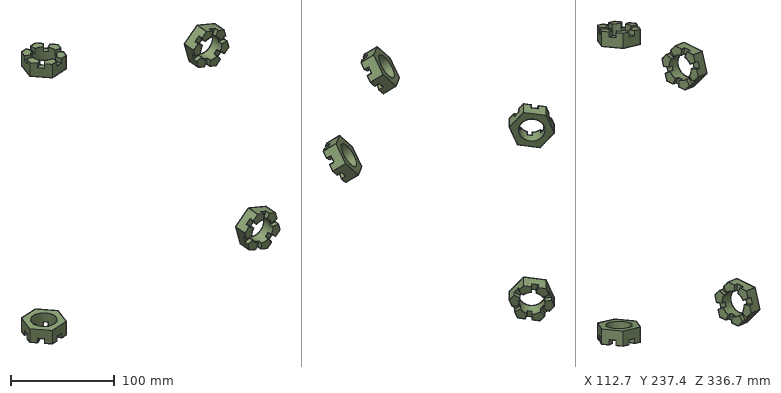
import cadquery as cq
import math

ACROSS_FLATS = 38.1
BORE_DIAMETER = 25.4
NUT_THICKNESS = 15.24
SLOT_ANGLE = 20.0
SLOT_DEPTH = 5.08
HEX_SIDES = 6
CORNER_ANGLE = 45.0

CORNER_STEP = 360 / HEX_SIDES
ACROSS_CORNERS = ACROSS_FLATS / math.cos(math.radians(CORNER_STEP / 2))
CORNER_REACH = ACROSS_CORNERS / 2 * math.cos(math.radians(CORNER_STEP - CORNER_ANGLE))

OVERALL_X = 112.69
OVERALL_Y = 237.42
OVERALL_Z = 336.65

LOWER_SLOTTED_FACE_Z = 0.0
UPPER_SLOTTED_FACE_Z = 313.7

SLOTTED_FACE_X = OVERALL_X - CORNER_REACH
FAR_NUT_Y = OVERALL_Y - 2 * CORNER_REACH
NUT_SPACING_Y = 61.7
NEAR_NUT_Y = FAR_NUT_Y - NUT_SPACING_Y
HIGH_NUT_Z = OVERALL_Z - CORNER_REACH
NUT_SPACING_Z = 226.9
LOW_NUT_Z = HIGH_NUT_Z - NUT_SPACING_Z


def slotted_nut(slotted_face):
    """Nut whose slotted face lies on the given plane, with its body behind the plane."""
    hexagon = cq.Workplane(slotted_face).transformed(rotate=(0, 0, CORNER_ANGLE))
    nut = hexagon.polygon(HEX_SIDES, ACROSS_CORNERS).extrude(-NUT_THICKNESS)
    nut = nut.cut(hexagon.circle(BORE_DIAMETER / 2).extrude(-NUT_THICKNESS))

    wedge_half_width = ACROSS_CORNERS * math.tan(math.radians(SLOT_ANGLE / 2))
    for index in range(HEX_SIDES):
        flat_angle = CORNER_ANGLE + (index + 0.5) * CORNER_STEP
        slot = (
            cq.Workplane(slotted_face)
            .transformed(rotate=(0, 0, flat_angle))
            .polyline([(0, 0), (ACROSS_CORNERS, -wedge_half_width), (ACROSS_CORNERS, wedge_half_width)])
            .close()
            .extrude(-SLOT_DEPTH)
        )
        nut = nut.cut(slot)
    return nut.val()


slotted_faces = [
    cq.Plane(origin=(0, 0, UPPER_SLOTTED_FACE_Z), xDir=(1, 0, 0), normal=(0, 0, 1)),
    cq.Plane(origin=(0, 0, LOWER_SLOTTED_FACE_Z), xDir=(0, 1, 0), normal=(0, 0, -1)),
    cq.Plane(origin=(SLOTTED_FACE_X, NEAR_NUT_Y, HIGH_NUT_Z), xDir=(0, 1, 0), normal=(1, 0, 0)),
    cq.Plane(origin=(SLOTTED_FACE_X, FAR_NUT_Y, LOW_NUT_Z), xDir=(0, 1, 0), normal=(1, 0, 0)),
]

nuts = [slotted_nut(face) for face in slotted_faces]

result = cq.Compound.makeCompound(nuts)